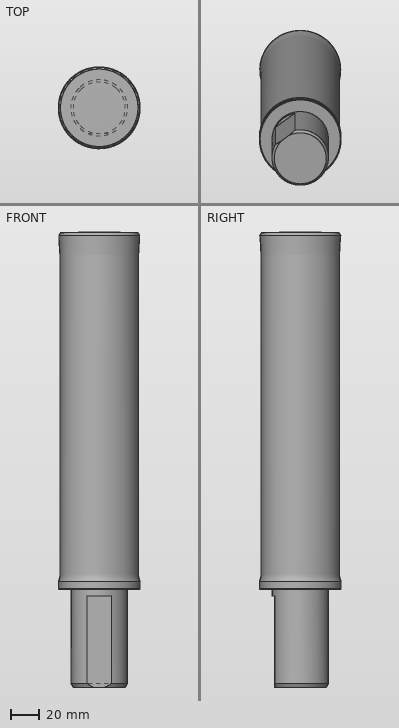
import cadquery as cq
import math

TOTAL_HEIGHT = 323.0
SHANK_LENGTH = 69.5

BARREL_RADIUS = 56.0 / 2
RIM_RADIUS = 58.0 / 2
FLANGE_THICKNESS = 5.8
FLANGE_EDGE_CHAMFER = 0.5
FLANGE_BLEND_RADIUS = 10.0
HEAD_RADIUS = 28.7
HEAD_HEIGHT = 16.5
HEAD_CHAMFER_WIDTH = 1.3
HEAD_CHAMFER_HEIGHT = 2.0

CROWN_RISE = 0.3
CROWN_RING_RADIUS = 14.5
CROWN_RING_DROP = 0.1
CROWN_TIP_RADIUS = 2.5

SHANK_RADIUS = 40.0 / 2
SHANK_CHAMFER_WIDTH = 1.5
SHANK_CHAMFER_HEIGHT = 3.0
FLAT_DEPTH = 2.0
FLAT_HEIGHT = 65.0


def make_post():
    """Revolve the barrel, its flange, its conical head and its shallow crown."""
    flange_top = SHANK_LENGTH + FLANGE_THICKNESS
    blend_angle = math.acos(1 - (RIM_RADIUS - BARREL_RADIUS) / FLANGE_BLEND_RADIUS)
    blend_top = flange_top + FLANGE_BLEND_RADIUS * math.sin(blend_angle)
    blend_middle = (
        BARREL_RADIUS + FLANGE_BLEND_RADIUS * (1 - math.cos(blend_angle / 2)),
        blend_top - FLANGE_BLEND_RADIUS * math.sin(blend_angle / 2),
    )

    return (
        cq.Workplane("XZ")
        .moveTo(0, SHANK_LENGTH)
        .lineTo(RIM_RADIUS - FLANGE_EDGE_CHAMFER, SHANK_LENGTH)
        .lineTo(RIM_RADIUS, SHANK_LENGTH + FLANGE_EDGE_CHAMFER)
        .lineTo(RIM_RADIUS, flange_top)
        .threePointArc(blend_middle, (BARREL_RADIUS, blend_top))
        .lineTo(BARREL_RADIUS, TOTAL_HEIGHT - HEAD_HEIGHT)
        .lineTo(HEAD_RADIUS, TOTAL_HEIGHT - CROWN_RISE - HEAD_CHAMFER_HEIGHT)
        .lineTo(HEAD_RADIUS - HEAD_CHAMFER_WIDTH, TOTAL_HEIGHT - CROWN_RISE)
        .lineTo(CROWN_RING_RADIUS, TOTAL_HEIGHT - CROWN_RING_DROP)
        .lineTo(CROWN_TIP_RADIUS, TOTAL_HEIGHT)
        .lineTo(0, TOTAL_HEIGHT)
        .close()
        .revolve(360, (0, 0), (0, 1))
    )


def make_shank():
    """Round peg under the post, chamfered at its end, with a flat on the -Y side."""
    peg = (
        cq.Workplane("XZ")
        .lineTo(SHANK_RADIUS - SHANK_CHAMFER_WIDTH, 0)
        .lineTo(SHANK_RADIUS, SHANK_CHAMFER_HEIGHT)
        .lineTo(SHANK_RADIUS, SHANK_LENGTH)
        .lineTo(0, SHANK_LENGTH)
        .close()
        .revolve(360, (0, 0), (0, 1))
    )
    flat_cut = cq.Workplane("XY").box(
        2 * SHANK_RADIUS, FLAT_DEPTH, FLAT_HEIGHT, centered=(True, False, False)
    )
    return peg.cut(flat_cut.translate((0, -SHANK_RADIUS, 0)))


post = make_post()
shank = make_shank()

result = cq.Compound.makeCompound([post.val(), shank.val()])